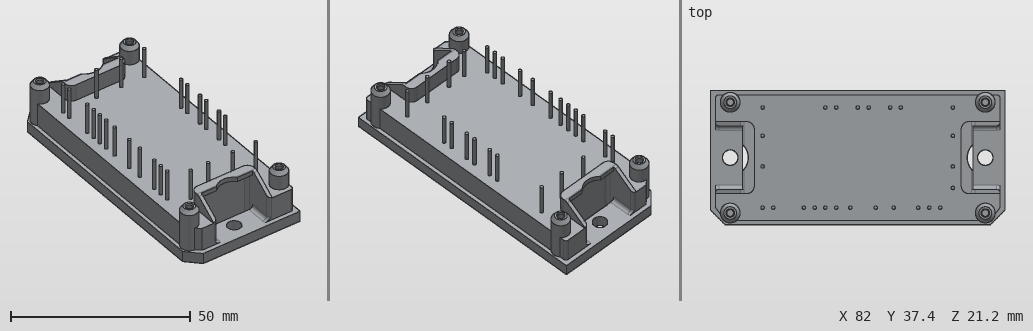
import cadquery as cq
import math

plate_length = 82
plate_width = 37.4
plate_height = 3.5
plate_corner_cut = 4.1

housing_length = 79.2
housing_width = 34.9
housing_top = 11.15
housing_corner_cut_x = 2.9
housing_corner_cut_y = 3.5
housing_corner_radius = 0.9

post_x = 35.5
post_y = 15.4
post_diameter = 5.5
post_top = 17.1
post_chamfer_height = 1.3
post_chamfer_width = 1.0
post_hole_mouth_diameter = 2.4
post_countersink_width = 0.25
post_countersink_depth = 0.4
post_hole_depth = 4.9

guard_top = 16.6
guard_width = 20.1
guard_inner_x = 28.8
guard_corner_radius = 2.2
ramp_start = 11.4
ramp_angle = 35
ramp_blend_radius = 1.6
rib_thickness = 1.2
rib_end_radius = 1.0
cove_radius = 1.2
lip_x = 32.1
lip_bottom = 15.1
opening_inner_x = 29.7
opening_corner_radius = 1.0
mounting_hole_diameter = 4.3
mounting_hole_x = post_x
driver_clearance_diameter = 10.0

pin_diameter = 1.0
pin_top = 21.2
pin_tip_height = 0.5
pin_tip_chamfer = 0.25
pin_row_y = 13.9
back_pin_x = [-26.5, -9, -6.0, 0, 3.0, 9, 12.0, 26.5]
front_pin_x = [-26.5, -23.5, -15.0, -12.0, -9, -6.0, -2.05, 5.0, 10.0, 16.8, 19.9, 23]
left_pin_y = [6.1, -2.5]
right_pin_y = [6.1, -2.5, -8.45]

pocket_half_width = guard_width / 2 - rib_thickness
housing_end = housing_length / 2


def block(x_min, x_max, width, z_min, z_max):
    """Box centred on Y, given by its X and Z limits."""
    return (
        cq.Workplane("XY", origin=((x_min + x_max) / 2, 0, z_min))
        .box(x_max - x_min, width, z_max - z_min, centered=(True, True, False))
    )


def make_plate():
    plate = block(-plate_length / 2, plate_length / 2, plate_width, 0, plate_height)
    return plate.edges("|Z and <Y").chamfer(plate_corner_cut)


def make_housing():
    left_edge = -housing_end
    back_edge = housing_width / 2
    front_edge = -back_edge
    housing = (
        cq.Workplane("XY", origin=(0, 0, plate_height))
        .moveTo(left_edge, back_edge)
        .lineTo(left_edge, front_edge + housing_corner_cut_y)
        .lineTo(left_edge + housing_corner_cut_x, front_edge)
        .lineTo(housing_end - housing_corner_cut_x, front_edge)
        .lineTo(housing_end, front_edge + housing_corner_cut_y)
        .lineTo(housing_end, back_edge)
        .close()
        .extrude(housing_top - plate_height)
    )
    return housing.edges("|Z and >Y").fillet(housing_corner_radius)


def make_guard():
    """Solid guard at the +X end, before its pocket is cut."""
    ramp_length = (guard_top - ramp_start) / math.tan(math.radians(ramp_angle))
    ramp_top_x = housing_end - ramp_length
    guard = (
        cq.Workplane("XZ", origin=(0, guard_width / 2, 0))
        .moveTo(guard_inner_x, plate_height)
        .lineTo(guard_inner_x, guard_top)
        .lineTo(ramp_top_x, guard_top)
        .lineTo(housing_end, ramp_start)
        .lineTo(housing_end, plate_height)
        .close()
        .extrude(guard_width)
    )
    guard = guard.edges("|Z and <X").fillet(guard_corner_radius)
    ramp_edge = cq.selectors.NearestToPointSelector((ramp_top_x, 0, guard_top))
    return guard.edges(ramp_edge).fillet(ramp_blend_radius)


def make_pocket():
    """Space between the ribs, flared at its mouth to round off the rib ends."""
    mouth_half_width = pocket_half_width + rib_end_radius
    arc_start_x = housing_end - rib_end_radius
    arc_offset = rib_end_radius * math.sqrt(0.5)
    arc_middle_x = arc_start_x + arc_offset
    arc_middle_y = mouth_half_width - arc_offset
    return (
        cq.Workplane("XY", origin=(0, 0, plate_height))
        .moveTo(lip_x, -pocket_half_width)
        .lineTo(arc_start_x, -pocket_half_width)
        .threePointArc((arc_middle_x, -arc_middle_y), (housing_end, -mouth_half_width))
        .lineTo(housing_end, mouth_half_width)
        .threePointArc((arc_middle_x, arc_middle_y), (arc_start_x, pocket_half_width))
        .lineTo(lip_x, pocket_half_width)
        .close()
        .extrude(guard_top - plate_height)
    )


def make_lip_opening():
    """Opening under the lip, down through the plate, plus the round notch in the lip."""
    opening = block(opening_inner_x, lip_x, 2 * pocket_half_width, 0, lip_bottom)
    opening = opening.edges("|Z and <X").fillet(opening_corner_radius)
    notch = (
        cq.Workplane("XY", origin=(mounting_hole_x, 0, lip_bottom))
        .circle(driver_clearance_diameter / 2)
        .extrude(guard_top - lip_bottom)
    )
    return opening.union(notch)


def make_cove():
    """Concave blend between the plate and the rib on the +Y side, turned round the rib end."""
    arc_start_x = housing_end - rib_end_radius
    straight_length = arc_start_x - lip_x
    straight = (
        cq.Workplane("YZ", origin=(lip_x, pocket_half_width, plate_height))
        .lineTo(-cove_radius, 0)
        .radiusArc((0, cove_radius), -cove_radius)
        .close()
        .extrude(straight_length)
    )
    turned = (
        cq.Workplane("YZ", origin=(arc_start_x, pocket_half_width, plate_height))
        .lineTo(-cove_radius, 0)
        .radiusArc((0, cove_radius), -cove_radius)
        .lineTo(rib_end_radius, cove_radius)
        .lineTo(rib_end_radius, 0)
        .close()
        .revolve(90, (rib_end_radius, 0, 0), (rib_end_radius, 1, 0))
    )
    within_housing = block(lip_x, housing_end, guard_width, plate_height, guard_top)
    return straight.union(turned.intersect(within_housing))


def make_mounting_hole():
    return (
        cq.Workplane("XY", origin=(mounting_hole_x, 0, 0))
        .circle(mounting_hole_diameter / 2)
        .extrude(plate_height)
    )


def both_ends(end_feature):
    return end_feature.union(end_feature.mirror("YZ"))


def make_post():
    post_radius = post_diameter / 2
    profile = (
        cq.Workplane("XZ")
        .moveTo(0, plate_height)
        .lineTo(post_radius, plate_height)
        .lineTo(post_radius, post_top - post_chamfer_height)
        .lineTo(post_radius - post_chamfer_width, post_top)
        .lineTo(0, post_top)
        .close()
    )
    return profile.revolve(360, (0, 0, 0), (0, 1, 0)).val()


def make_post_hole():
    """Blind screw hole with a countersunk mouth."""
    mouth_radius = post_hole_mouth_diameter / 2
    hole_radius = mouth_radius - post_countersink_width
    profile = (
        cq.Workplane("XZ")
        .moveTo(0, post_top)
        .lineTo(mouth_radius, post_top)
        .lineTo(hole_radius, post_top - post_countersink_depth)
        .lineTo(hole_radius, post_top - post_hole_depth)
        .lineTo(0, post_top - post_hole_depth)
        .close()
    )
    return profile.revolve(360, (0, 0, 0), (0, 1, 0)).val()


def make_pin():
    pin = (
        cq.Workplane("XY", origin=(0, 0, housing_top))
        .circle(pin_diameter / 2)
        .extrude(pin_top - housing_top)
    )
    return pin.faces(">Z").chamfer(pin_tip_chamfer, pin_tip_height).val()


def place(shape, points):
    """Copies of a shape at the given XY points."""
    return cq.Workplane("XY").pushPoints(points).eachpoint(lambda spot: shape.moved(spot))


post_points = [(x, y) for x in (-post_x, post_x) for y in (-post_y, post_y)]
pin_points = [(x, pin_row_y) for x in back_pin_x]
pin_points += [(x, -pin_row_y) for x in front_pin_x]
pin_points += [(back_pin_x[0], y) for y in left_pin_y]
pin_points += [(back_pin_x[-1], y) for y in right_pin_y]

cove = make_cove()
result = make_plate().union(make_housing()).union(both_ends(make_guard()))
result = result.cut(both_ends(make_pocket())).cut(both_ends(make_lip_opening()))
result = result.union(both_ends(cove.union(cove.mirror("XZ"))))
result = result.cut(both_ends(make_mounting_hole()))
result = result.union(place(make_post(), post_points)).cut(place(make_post_hole(), post_points))
result = result.union(place(make_pin(), pin_points))